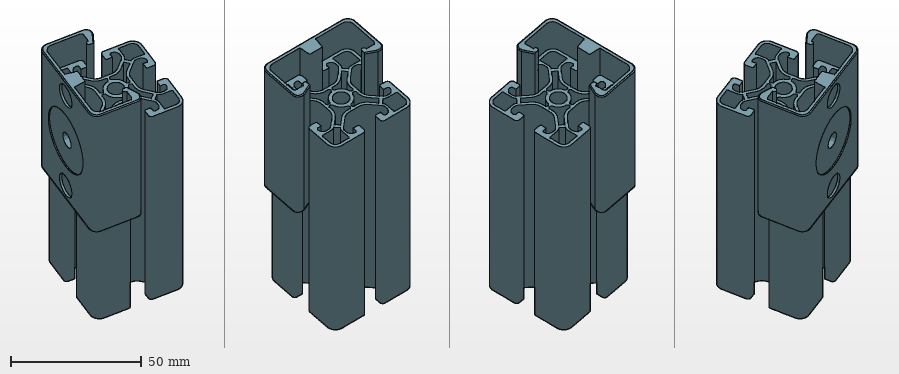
import cadquery as cq
import math

profile_side = 40.0
profile_length = 100.0
profile_corner_radius = 4.0
skin = 1.4

slot_opening = 8.0
slot_mouth_radius = 1.4
lip_width = 2.8
lip_depth = 4.5
lip_edge_radius = 0.6
flange_thickness = 2.2
chamber_width = 20.2
chamber_radius = 2.4
lip_root_radius = 0.8
floor_height = 7.9
floor_flat = 4.6
flank_offset = 3.5

slot_wall = 1.0
floor_wall = 1.3
rib_thickness = 0.9
rib_floor_radius = 0.6
rib_hub_radius = 0.8
void_corner_radius = 0.3
hub_diameter = 9.9
bore_diameter = 6.7
web_thickness = 1.5
web_distance = 15.3

clip_width = 44.0
clip_bottom = 50.0
clip_top = 114.0
clip_wall = 1.7
clip_chamfer = 0.5
clip_base_radius = 3.5
clip_arm_radius = 2.5
clip_inner_base_radius = 3.0
clip_inner_arm_radius = 1.0
arm_top = 0.0
arm_slope_start = 18.4
arm_slope_angle = 25.0
hook_gap = 27.1
hook_bottom = -4.9

key_base_width = 7.9
key_tip_width = 6.3
key_height = 5.1
key_tip_radius = 0.2

clip_hole_diameter = 6.6
disc_recess_diameter = 28.0
disc_recess_depth = 0.6
spot_recess_diameter = 10.0
spot_recess_depth = 1.0
spot_offset = 24.5

half_side = profile_side / 2
half_clip = clip_width / 2
clip_length = clip_top - clip_bottom
clip_middle = (clip_top + clip_bottom) / 2
clip_inside = half_clip - clip_wall
clip_clearance = clip_inside - half_side
lip_end = half_side - lip_depth
smallest_edge = 1.14e-06
half_corner_turn = math.tan(math.radians(22.5))


def rounded_outline(corners):
    """Closed outline through (x, y, radius) corners, each rounded by a tangent arc."""
    points = [cq.Vector(x, y) for x, y, _ in corners]
    count = len(corners)
    outline = cq.Workplane("XY")
    last = None
    for i, (_, _, radius) in enumerate(corners):
        corner = points[i]
        back = (points[i - 1] - corner).normalized()
        ahead = (points[(i + 1) % count] - corner).normalized()
        half_angle = back.getAngle(ahead) / 2
        tangent = radius / math.tan(half_angle)
        start = corner + back * tangent
        if last is None:
            outline = outline.moveTo(start.x, start.y)
        elif (start - last).Length > smallest_edge:
            outline = outline.lineTo(start.x, start.y)
        last = start
        if radius > 0:
            end = corner + ahead * tangent
            bisector = (back + ahead).normalized()
            middle = corner + bisector * (radius / math.sin(half_angle) - radius)
            outline = outline.threePointArc((middle.x, middle.y), (end.x, end.y))
            last = end
    return outline.close()


def mirrored(right_half):
    """Right-hand corners followed by their mirror images, in running order."""
    return right_half + [(-x, y, radius) for x, y, radius in reversed(right_half)]


def make_slot():
    """T-slot void opening toward +Y."""
    half_opening = slot_opening / 2
    half_chamber = chamber_width / 2
    lip_root = half_opening + lip_width
    roof = half_side - flange_thickness
    floor_corner = floor_height - flank_offset
    floor_radius = (floor_corner - floor_flat / 2) / half_corner_turn
    mouth = half_opening + 2 * slot_mouth_radius
    right_half = [
        (floor_corner, floor_height, floor_radius),
        (half_chamber, half_chamber + flank_offset, chamber_radius),
        (half_chamber, roof, chamber_radius),
        (lip_root, roof, lip_root_radius),
        (lip_root, lip_end, 0),
        (half_opening, lip_end, lip_edge_radius),
        (half_opening, half_side, slot_mouth_radius),
        (mouth, half_side, 0),
        (mouth, half_side + slot_mouth_radius, 0),
    ]
    return rounded_outline(mirrored(right_half)).extrude(profile_length)


def make_quadrant_void():
    """Hollow of the +X +Y quadrant, parted by the hub and the diagonal web."""
    outer = half_side - skin
    side = chamber_width / 2 + slot_wall
    flank = flank_offset - floor_wall * math.sqrt(2)
    inner = floor_height - floor_wall
    rib = rib_thickness / 2
    floor_radius = (floor_height - flank_offset - floor_flat / 2) / half_corner_turn + floor_wall
    upper_half = [
        (side, outer, void_corner_radius),
        (side, side + flank, chamber_radius + slot_wall),
        (inner - flank, inner, floor_radius),
        (rib, inner, rib_floor_radius),
    ]
    lower_half = [(y, x, radius) for x, y, radius in reversed(upper_half)]
    corners = [(outer, outer, profile_corner_radius - skin)] + upper_half + [(rib, rib, 0)] + lower_half
    void = rounded_outline(corners).extrude(profile_length)

    hub_radius = hub_diameter / 2
    void = void.cut(cq.Workplane("XY").circle(hub_radius).extrude(profile_length))

    def touches_hub(edge):
        middle = edge.Center()
        return math.hypot(middle.x, middle.y) < hub_radius + smallest_edge

    hub_corners = void.edges("|Z").filter(touches_hub)
    void = hub_corners.fillet(rib_hub_radius)

    web = (
        cq.Workplane("XY")
        .center(web_distance, 0)
        .rect(web_thickness, profile_side / 2)
        .extrude(profile_length)
        .rotate((0, 0, 0), (0, 0, 1), 45)
    )
    return void.cut(web)


def make_profile():
    body = cq.Workplane("XY").rect(profile_side, profile_side).extrude(profile_length)
    body = body.edges("|Z").fillet(profile_corner_radius)
    slot = make_slot()
    quadrant_void = make_quadrant_void()
    for quarter in range(4):
        angle = 90 * quarter
        body = body.cut(slot.rotate((0, 0, 0), (0, 0, 1), angle))
        body = body.cut(quadrant_void.rotate((0, 0, 0), (0, 0, 1), angle))
    bore = cq.Workplane("XY").circle(bore_diameter / 2).extrude(profile_length)
    return body.cut(bore)


def make_clip_block():
    """Outer form of the clip with a V-shaped top, chamfered around both ends."""
    v_bottom = arm_top - arm_slope_start * math.tan(math.radians(arm_slope_angle))
    corners = [
        (half_clip, -half_clip, clip_base_radius),
        (half_clip, arm_top, clip_arm_radius),
        (arm_slope_start, arm_top, 0),
        (0, v_bottom, 0),
        (-arm_slope_start, arm_top, 0),
        (-half_clip, arm_top, clip_arm_radius),
        (-half_clip, -half_clip, clip_base_radius),
    ]
    block = rounded_outline(corners).extrude(clip_length)
    return block.faces("<Z or >Z").edges().chamfer(clip_chamfer)


def make_clip_cavity():
    """Space for the profile, with the two hooks reaching behind its slot lips."""
    hook_tip = hook_gap / 2
    hook_radius = (lip_end - hook_tip) / 2
    ceiling = clip_clearance - slot_opening / 2
    right_half = [
        (clip_inside, -clip_inside, clip_inner_base_radius),
        (clip_inside, ceiling, clip_inner_arm_radius),
        (lip_end, ceiling, 0),
        (lip_end, hook_bottom, hook_radius),
        (hook_tip, hook_bottom, hook_radius),
        (hook_tip, arm_top, 0),
    ]
    return rounded_outline(mirrored(right_half)).extrude(clip_length)


def make_key():
    """Tapered rail that runs in the profile's front slot."""
    right_half = [
        (key_base_width / 2, -clip_inside, 0),
        (key_tip_width / 2, key_height - clip_inside, key_tip_radius),
    ]
    return rounded_outline(mirrored(right_half)).extrude(clip_length)


def front_cylinder(diameter, depth, height):
    """Cylinder reaching from the clip's front face inward, at a height on the clip."""
    return (
        cq.Workplane("XZ", origin=(0, -half_clip, height))
        .circle(diameter / 2)
        .extrude(-depth)
    )


def make_clip():
    body = make_clip_block().cut(make_clip_cavity()).union(make_key())
    body = body.translate((0, 0, clip_bottom))
    body = body.cut(front_cylinder(disc_recess_diameter, disc_recess_depth, clip_middle))
    body = body.cut(front_cylinder(clip_hole_diameter, clip_wall + key_height, clip_middle))
    for offset in (-spot_offset, spot_offset):
        body = body.cut(front_cylinder(spot_recess_diameter, spot_recess_depth, clip_middle + offset))
    return body


profile = make_profile()
clip = make_clip()

result = cq.Compound.makeCompound([profile.solids().val(), clip.solids().val()])